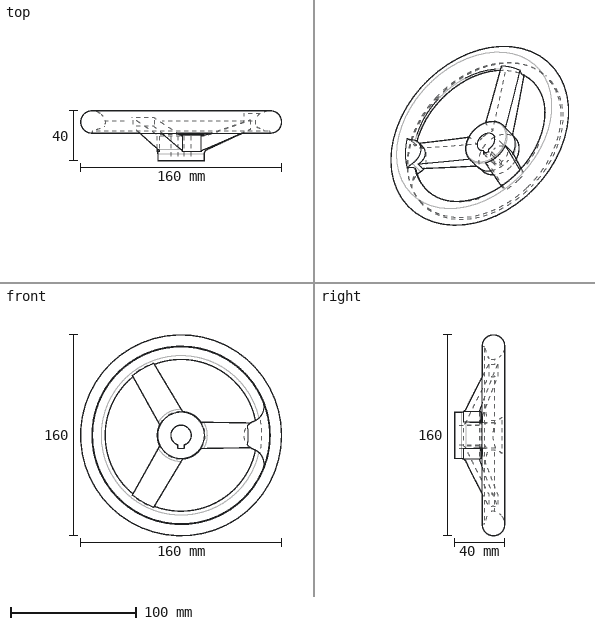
import cadquery as cq
import math


rim_radius = 80.0
rim_depth = 18.0
rim_inner_radius = 60.0
rim_round = rim_depth / 2
recess_radius = rim_radius - rim_round
recess_floor_radius = 70.4
recess_depth = 2.0
dish_angle = 17.0
lip_fillet = 4.6

hub_radius = 18.5
hub_body_radius = 19.0
hub_front = -22.0
hub_back = -1.1
hub_back_fillet = 0.75
bore_radius = 8.0
key_width = 5.0
key_depth = 10.3

spoke_count = 3
spoke_axis_half_width = 10.8
spoke_rim_half_width = 9.8
spoke_end_radius = 64.0
front_cone_angle = 24.7
front_cone_foot = 49.0
rear_cone_angle = 19.3
rear_cone_foot = 25.4
spoke_root_fillet = 4.0

boss_center_radius = 62.0
boss_radius = 12.0
boss_blend_radius = 12.0
boss_front = recess_depth
boss_back = 15.6


def revolve_about_axis(profile):
    """Turn a closed (radius, y) profile around the Y axis."""
    return profile.revolve(360, (0, 0, 0), (0, 1, 0))


def cylinder(radius, y_start, y_end):
    return cq.Workplane("XZ", origin=(0, y_start, 0)).circle(radius).extrude(y_start - y_end)


def front_cone_y(radius):
    return (radius - front_cone_foot) * math.tan(math.radians(front_cone_angle))


def rear_cone_y(radius):
    return (radius - rear_cone_foot) * math.tan(math.radians(rear_cone_angle))


def make_rim():
    """Revolved rim whose dished front face runs into the rounded inner side."""
    outer_center = rim_radius - rim_round
    inner_round = outer_center - rim_inner_radius
    inner_y = rim_depth - inner_round

    slope = math.radians(dish_angle)
    offset_r = recess_floor_radius - outer_center
    offset_y = recess_depth - inner_y
    along = offset_r * math.cos(slope) - offset_y * math.sin(slope)
    reach = along + math.sqrt(along**2 - offset_r**2 - offset_y**2 + inner_round**2)
    lip_radius = recess_floor_radius - reach * math.cos(slope)
    lip_y = recess_depth + reach * math.sin(slope)

    profile = (
        cq.Workplane("XY")
        .moveTo(recess_radius, 0)
        .threePointArc((rim_radius, rim_round), (outer_center, rim_depth))
        .threePointArc((rim_inner_radius, inner_y), (lip_radius, lip_y))
        .lineTo(recess_floor_radius, recess_depth)
        .close()
    )
    rim = revolve_about_axis(profile)
    margin = 0.1
    lip_band = cq.selectors.BoxSelector(
        (-rim_radius, lip_y - margin, -rim_radius), (rim_radius, lip_y + margin, rim_radius)
    )
    return rim.edges(lip_band).edges("%CIRCLE").fillet(lip_fillet)


def make_spokes():
    """Hub body and spokes, cut to the space between the front and rear cones."""
    slope = math.radians(front_cone_angle)
    turn = math.pi / 2 - slope
    tangent_length = spoke_root_fillet * math.tan(turn / 2)
    root_y = front_cone_y(hub_radius)
    fillet_start = (hub_radius, root_y - tangent_length)
    fillet_end = (
        hub_radius + tangent_length * math.cos(slope),
        root_y + tangent_length * math.sin(slope),
    )
    fillet_middle = (
        hub_radius + spoke_root_fillet * (1 - math.cos(turn / 2)),
        fillet_start[1] + spoke_root_fillet * math.sin(turn / 2),
    )
    back_radius = hub_body_radius - hub_back_fillet
    back_y = hub_back - hub_back_fillet
    back_middle_offset = hub_back_fillet * math.sqrt(0.5)
    back_middle = (back_radius + back_middle_offset, back_y + back_middle_offset)
    envelope = revolve_about_axis(
        cq.Workplane("XY")
        .moveTo(0, fillet_start[1])
        .lineTo(*fillet_start)
        .threePointArc(fillet_middle, fillet_end)
        .lineTo(spoke_end_radius, front_cone_y(spoke_end_radius))
        .lineTo(spoke_end_radius, rear_cone_y(spoke_end_radius))
        .lineTo(hub_body_radius, rear_cone_y(hub_body_radius))
        .lineTo(hub_body_radius, back_y)
        .threePointArc(back_middle, (back_radius, hub_back))
        .lineTo(0, hub_back)
        .close()
    )
    bar = (
        cq.Workplane("XZ", origin=(0, rim_depth, 0))
        .polyline(
            [
                (0, -spoke_axis_half_width),
                (spoke_end_radius, -spoke_rim_half_width),
                (spoke_end_radius, spoke_rim_half_width),
                (0, spoke_axis_half_width),
            ]
        )
        .close()
        .extrude(rim_depth - hub_front)
    )
    body = cylinder(hub_body_radius, hub_front, hub_back)
    for i in range(spoke_count):
        spoke = bar.rotate((0, 0, 0), (0, 1, 0), i * 360 / spoke_count)
        body = body.union(spoke)
    return body.intersect(envelope)


def make_boss():
    """Handle boss: round inner end, blended into the recess wall on both sides."""
    blend_distance = recess_floor_radius - boss_blend_radius
    center_gap = boss_radius + boss_blend_radius
    blend_x = (blend_distance**2 + boss_center_radius**2 - center_gap**2) / (2 * boss_center_radius)
    blend_z = math.sqrt(blend_distance**2 - blend_x**2)

    wall_scale = recess_floor_radius / blend_distance
    wall_x = blend_x * wall_scale
    wall_z = blend_z * wall_scale
    end_scale = boss_radius / center_gap
    end_x = boss_center_radius + (blend_x - boss_center_radius) * end_scale
    end_z = blend_z * end_scale

    wall_direction = math.atan2(blend_z, blend_x)
    end_direction = math.atan2(end_z - blend_z, end_x - blend_x)
    middle_direction = (wall_direction + end_direction) / 2
    middle_x = blend_x + boss_blend_radius * math.cos(middle_direction)
    middle_z = blend_z + boss_blend_radius * math.sin(middle_direction)

    return (
        cq.Workplane("XZ", origin=(0, boss_back, 0))
        .moveTo(wall_x, wall_z)
        .threePointArc((middle_x, middle_z), (end_x, end_z))
        .threePointArc((boss_center_radius - boss_radius, 0), (end_x, -end_z))
        .threePointArc((middle_x, -middle_z), (wall_x, -wall_z))
        .threePointArc((recess_floor_radius, 0), (wall_x, wall_z))
        .close()
        .extrude(boss_back - boss_front)
    )


def make_bore():
    """Through bore with a keyway on the -Z side."""
    keyway = (
        cq.Workplane("XZ", origin=(0, hub_back, 0))
        .center(0, -key_depth / 2)
        .rect(key_width, key_depth)
        .extrude(hub_back - hub_front)
    )
    return cylinder(bore_radius, hub_front, hub_back).union(keyway)


hub_front_cylinder = cylinder(hub_radius, hub_front, hub_back - hub_back_fillet)
result = make_rim().union(make_spokes()).union(hub_front_cylinder).union(make_boss()).cut(make_bore())